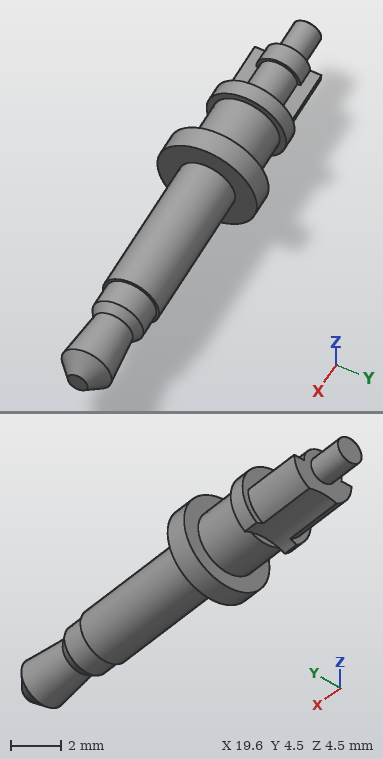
import cadquery as cq

pin_end = 1.65
ring_end = 2.49
collar_start = 4.49
collar_end = 5.21
flange_start = 7.55
flange_end = 8.57
shaft_end = 15.05
neck_chamfer_start = 16.17
neck_end = 16.58
tip_start = 18.84
total_length = 19.6

pin_radius = 0.63
ring_radius = 1.0
core_radius = 0.86
collar_radius = 1.8
barrel_radius = 1.5
flange_radius = 2.25
shaft_radius = 1.27
neck_radius = 1.15
waist_radius = 0.9
tip_radius = 1.14
nose_radius = 0.45

groove_half_width = 1.02
groove_edge_depth = 1.45
groove_crown_depth = 1.22
groove_sag = groove_edge_depth - groove_crown_depth
groove_radius = (groove_half_width**2 + groove_sag**2) / (2 * groove_sag)


def cylinder(start, end, radius):
    """Solid cylinder on the plug axis between two stations."""
    return cq.Workplane("YZ").workplane(offset=start).circle(radius).extrude(end - start)


def terminal_shell():
    """Half cylinder below the axis, from the pin shoulder to the collar."""
    shell_length = collar_start - pin_end
    lower_half = cq.Workplane("XY").box(
        shell_length, 2 * barrel_radius, barrel_radius, centered=(False, True, False)
    ).translate((pin_end, 0, -barrel_radius))
    return cylinder(pin_end, collar_start, barrel_radius).intersect(lower_half)


def collar_groove():
    """Cutter rounding the underside of the shell and collar inward."""
    return (
        cq.Workplane("YZ")
        .workplane(offset=pin_end)
        .center(0, -groove_crown_depth - groove_radius)
        .circle(groove_radius)
        .extrude(collar_end - pin_end)
    )


def plug():
    """Turned barrel, flange, contact shaft, neck and flared tip."""
    return (
        cq.Workplane("XZ")
        .moveTo(collar_end, 0)
        .lineTo(collar_end, barrel_radius)
        .lineTo(flange_start, barrel_radius)
        .lineTo(flange_start, flange_radius)
        .lineTo(flange_end, flange_radius)
        .lineTo(flange_end, shaft_radius)
        .lineTo(shaft_end, shaft_radius)
        .lineTo(shaft_end, neck_radius)
        .lineTo(neck_chamfer_start, neck_radius)
        .lineTo(neck_end, waist_radius)
        .lineTo(tip_start, tip_radius)
        .lineTo(total_length, nose_radius)
        .lineTo(total_length, 0)
        .close()
        .revolve(360, (0, 0, 0), (1, 0, 0))
    )


terminal = terminal_shell().union(cylinder(collar_start, collar_end, collar_radius)).cut(collar_groove())

result = (
    plug()
    .union(terminal)
    .union(cylinder(0, pin_end, pin_radius))
    .union(cylinder(pin_end, ring_end, ring_radius))
    .union(cylinder(ring_end, collar_start, core_radius))
)